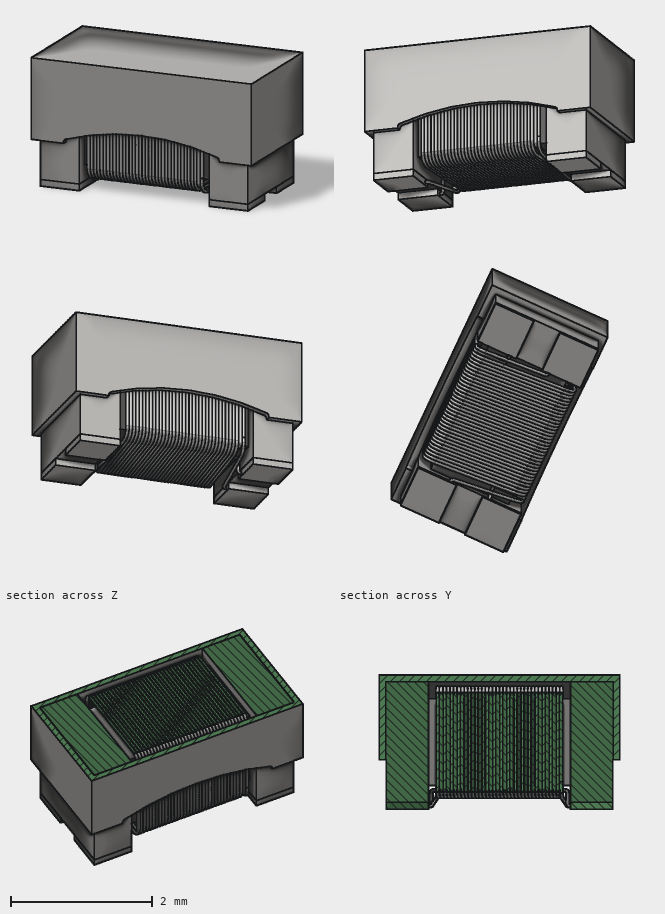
import cadquery as cq
import math


cover_length = 3.4
cover_width = 1.8
cover_height = 1.2
overall_height = 1.9
cover_wall = 0.1
cover_bottom = overall_height - cover_height

arch_width = 2.407
arch_rise = 0.248
arch_radius = 3.775
arch_corner_radius = 0.058

pad_length = 0.6
pad_width = 0.6
pad_height = 0.1

core_length = cover_length - 2 * cover_wall
core_width = cover_width - 2 * cover_wall
core_top = overall_height - cover_wall
web_inset_side = 0.195
web_inset_height = 0.238
pad_x = (core_length - pad_length) / 2
pad_y = (core_width - pad_width) / 2
web_length = core_length - 2 * pad_length
web_width = core_width - 2 * web_inset_side
web_bottom = pad_height + web_inset_height
web_top = core_top - web_inset_height

wire_diameter = 0.048
winding_length = 1.8
turns_per_wire = 18
wire_count = 2
wire_offset = 0.155
wire_spacing = winding_length / (wire_count * turns_per_wire)
turn_pitch = wire_count * wire_spacing
leg_y = web_width / 2 + wire_offset
run_bottom = web_bottom - wire_offset
run_top = web_top + wire_offset
last_leg_x = (winding_length - wire_spacing) / 2
first_leg_x = last_leg_x - (turns_per_wire - 1) * turn_pitch

pad_face_x = web_length / 2
joint_height = 0.39
lead_end_height = pad_height / 2
lead_end_y = 0.3
lead_bend = 0.035
lead_tail = 0.04
coil_end_height = 0.27


def box(length, width, bottom, top):
    """Box centred on the Z axis."""
    return cq.Workplane("XY").workplane(offset=bottom).rect(length, width).extrude(top - bottom)


def make_cover():
    shell = box(cover_length, cover_width, cover_bottom, overall_height)
    shell = shell.cut(box(core_length, core_width, cover_bottom, core_top))
    half_width = arch_width / 2
    crown = cover_bottom + arch_rise
    shoulder = crown - arch_radius + math.sqrt(arch_radius**2 - half_width**2)
    arch = (
        cq.Workplane("XZ")
        .moveTo(-half_width, cover_bottom)
        .lineTo(-half_width, shoulder)
        .threePointArc((0, crown), (half_width, shoulder))
        .lineTo(half_width, cover_bottom)
        .close()
        .extrude(cover_width / 2, both=True)
        .edges("|Y")
        .edges(">Z")
        .fillet(arch_corner_radius)
    )
    return shell.cut(arch)


def make_core():
    core = box(web_length, web_width, web_bottom, web_top)
    for x in (-pad_x, pad_x):
        core = core.union(box(pad_length, core_width, pad_height, core_top).translate((x, 0, 0)))
    return core


def make_pad(side_x, side_y):
    place = (side_x * pad_x, side_y * pad_y, 0)
    return box(pad_length, pad_width, 0, pad_height).translate(place)


def make_wire(corners):
    """Round wire along straight runs between (point, bend radius) corners; the ends have no bend."""
    points = [cq.Vector(*point) for point, _ in corners]
    radii = [radius for _, radius in corners]
    edges = []
    start = points[0]
    for before, corner, after, radius in zip(points, points[1:], points[2:], radii[1:]):
        inward = (corner - before).normalized()
        outward = (after - corner).normalized()
        half_turn = inward.getAngle(outward) / 2
        bend_start = corner - inward * (radius * math.tan(half_turn))
        bend_end = corner + outward * (radius * math.tan(half_turn))
        to_corner = radius / math.cos(half_turn) - radius
        bend_middle = corner + (outward - inward).normalized() * to_corner
        edges.append(cq.Edge.makeLine(start, bend_start))
        edges.append(cq.Edge.makeThreePointArc(bend_start, bend_middle, bend_end))
        start = bend_end
    edges.append(cq.Edge.makeLine(start, points[-1]))
    path = cq.Wire.assembleEdges(edges)
    section = cq.Plane(origin=points[0].toTuple(), normal=(points[1] - points[0]).toTuple())
    return cq.Workplane(section).circle(wire_diameter / 2).sweep(cq.Workplane(path))


def make_coil():
    """Coil from its end at the left rear pad to the joint on its last front leg."""
    drop_x = -pad_face_x + lead_tail
    corners = [
        ((-pad_face_x, lead_end_y, lead_end_height), 0),
        ((drop_x, lead_end_y, lead_end_height), lead_bend),
        ((drop_x, lead_end_y, coil_end_height), lead_bend),
        ((first_leg_x, lead_end_y, coil_end_height), lead_bend),
        ((first_leg_x, leg_y, coil_end_height), lead_bend),
    ]
    for turn in range(turns_per_wire):
        x = first_leg_x + turn * turn_pitch
        if turn > 0:
            corners.append(((x - turn_pitch, -leg_y, run_bottom), wire_offset))
            corners.append(((x, leg_y, run_bottom), wire_offset))
        corners.append(((x, leg_y, run_top), wire_offset))
        corners.append(((x, -leg_y, run_top), wire_offset))
    corners.append(((last_leg_x, -leg_y, joint_height), 0))
    return make_wire(corners)


def make_lead():
    """Lead from the joint, sloping down below the web, to the right rear pad."""
    return make_wire([
        ((last_leg_x, -leg_y, joint_height), 0),
        ((last_leg_x, -leg_y, run_bottom), wire_offset),
        ((pad_face_x - lead_tail, lead_end_y, lead_end_height), lead_bend),
        ((pad_face_x, lead_end_y, lead_end_height), 0),
    ])


cover = make_cover()
core = make_core()
pads = [make_pad(side_x, side_y) for side_x in (-1, 1) for side_y in (-1, 1)]

coil = make_coil()
lead = make_lead()
coils = []
leads = []
for wire in range(wire_count):
    angle = wire * 360 / wire_count
    coils.append(coil.rotate((0, 0, 0), (0, 0, 1), angle))
    leads.append(lead.rotate((0, 0, 0), (0, 0, 1), angle))

bodies = [cover, core, *pads, *coils, *leads]
result = cq.Compound.makeCompound([body.val() for body in bodies])